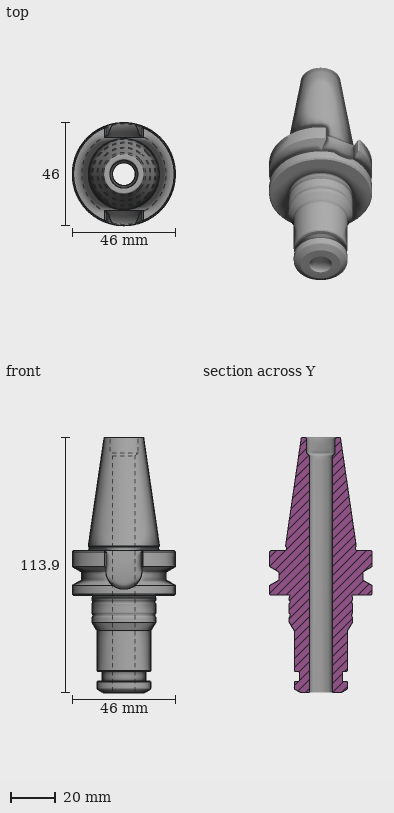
import cadquery as cq
import math


TOTAL_LENGTH = 113.9
TAPER_LENGTH = 48.4
GAUGE_RADIUS = 31.75 / 2
TAPER_RATIO = 7 / 24
TAPER_TIP_RADIUS = GAUGE_RADIUS - TAPER_LENGTH * TAPER_RATIO / 2
TAPER_TIP_FILLET = 0.5
BOTTOM_Z = TAPER_LENGTH - TOTAL_LENGTH

RELIEF_RADIUS = 15.5
RELIEF_TOP_Z = -0.4
RELIEF_FILLET = 0.75

FLANGE_RADIUS = 46 / 2
FLANGE_TOP_Z = -2.0
FLANGE_BOTTOM_Z = -22.0
FLANGE_CHAMFER = 0.6
GROOVE_UPPER_Z = -9.2
GROOVE_LOWER_Z = -17.6
GROOVE_RADIUS = 18.8
GROOVE_FILLET = 0.5
GROOVE_FLANK_ANGLE = 30
GROOVE_FLANK_HEIGHT = (FLANGE_RADIUS - GROOVE_RADIUS) * math.tan(math.radians(GROOVE_FLANK_ANGLE))

SLOT_RADIUS = 16.1 / 2
SLOT_FLOOR_Y = 16.3
SLOT_ARC_Z = -11.2
SLOT_FLOOR_FILLET = 0.4
SLOT_EDGE_CHAMFER = 0.6
SLOT_CUT_OVERSHOOT = 1.0

COLLAR_RADIUS = 28.5 / 2
COLLAR_GROOVE_DEPTH = 0.4
UNDERCUT_BOTTOM_Z = -23.1
UPPER_RING_Z = (-24.1, -25.8)
LOWER_RING_Z = (-29.9, -31.9)
RING_EDGE_FILLET = 0.45
COLLAR_BOTTOM_Z = -34.0
COLLAR_CONE_BOTTOM_Z = -37.7

SHANK_RADIUS = 24 / 2
SHANK_BOTTOM_Z = -56.0
END_NECK_RADIUS = 19.5 / 2
END_FLANGE_TOP_Z = -60.3
END_FACE_RADIUS = 9.0
END_RIM_CHAMFER = 0.4
END_NECK_FILLET = 0.3
END_CONE_FILLET = 1.0
END_CONE_ANGLE = 30
END_CONE_Z = BOTTOM_Z + (SHANK_RADIUS - END_FACE_RADIUS) * math.tan(math.radians(END_CONE_ANGLE))

BORE_RADIUS = 10.11 / 2
COUNTERBORE_RADIUS = 12.5 / 2
COUNTERBORE_DEPTH = 7.0
COUNTERBORE_RIM_FILLET = 0.75
BORE_CONE_HEIGHT = COUNTERBORE_RADIUS - BORE_RADIUS

TOLERANCE = 1e-3


def ring_edges(body, z, radius):
    """Full-circle edges of the body at the given height and radius."""
    return body.edges("%CIRCLE").filter(
        lambda edge: abs(edge.Center().z - z) < TOLERANCE and abs(edge.radius() - radius) < TOLERANCE
    )


def ring_groove(profile, z_top, z_bottom):
    """Continue the profile down the collar to z_top and through an arc groove to z_bottom."""
    middle = (COLLAR_RADIUS - COLLAR_GROOVE_DEPTH, (z_top + z_bottom) / 2)
    return profile.lineTo(COLLAR_RADIUS, z_top).threePointArc(middle, (COLLAR_RADIUS, z_bottom))


def turned_body():
    profile = (
        cq.Workplane("XZ")
        .moveTo(0, TAPER_LENGTH)
        .lineTo(TAPER_TIP_RADIUS, TAPER_LENGTH)
        .lineTo(GAUGE_RADIUS, 0)
        .lineTo(RELIEF_RADIUS, RELIEF_TOP_Z)
        .lineTo(RELIEF_RADIUS, FLANGE_TOP_Z)
        .lineTo(FLANGE_RADIUS, FLANGE_TOP_Z)
        .lineTo(FLANGE_RADIUS, GROOVE_UPPER_Z)
        .lineTo(GROOVE_RADIUS, GROOVE_UPPER_Z - GROOVE_FLANK_HEIGHT)
        .lineTo(GROOVE_RADIUS, GROOVE_LOWER_Z + GROOVE_FLANK_HEIGHT)
        .lineTo(FLANGE_RADIUS, GROOVE_LOWER_Z)
        .lineTo(FLANGE_RADIUS, FLANGE_BOTTOM_Z)
        .lineTo(COLLAR_RADIUS - COLLAR_GROOVE_DEPTH, FLANGE_BOTTOM_Z)
        .lineTo(COLLAR_RADIUS, UNDERCUT_BOTTOM_Z)
    )
    profile = ring_groove(profile, *UPPER_RING_Z)
    profile = ring_groove(profile, *LOWER_RING_Z)
    profile = (
        profile.lineTo(COLLAR_RADIUS, COLLAR_BOTTOM_Z)
        .lineTo(SHANK_RADIUS, COLLAR_CONE_BOTTOM_Z)
        .lineTo(SHANK_RADIUS, SHANK_BOTTOM_Z)
        .lineTo(END_NECK_RADIUS, SHANK_BOTTOM_Z)
        .lineTo(END_NECK_RADIUS, END_FLANGE_TOP_Z)
        .lineTo(SHANK_RADIUS, END_FLANGE_TOP_Z)
        .lineTo(SHANK_RADIUS, END_CONE_Z)
        .lineTo(END_FACE_RADIUS, BOTTOM_Z)
        .lineTo(0, BOTTOM_Z)
        .close()
    )
    return profile.revolve(360, (0, 0, 0), (0, 1, 0))


def ease_turned_edges(body):
    fillets = [
        (TAPER_LENGTH, TAPER_TIP_RADIUS, TAPER_TIP_FILLET),
        (FLANGE_TOP_Z, RELIEF_RADIUS, RELIEF_FILLET),
        (GROOVE_UPPER_Z - GROOVE_FLANK_HEIGHT, GROOVE_RADIUS, GROOVE_FILLET),
        (GROOVE_LOWER_Z + GROOVE_FLANK_HEIGHT, GROOVE_RADIUS, GROOVE_FILLET),
        (SHANK_BOTTOM_Z, END_NECK_RADIUS, END_NECK_FILLET),
        (END_FLANGE_TOP_Z, END_NECK_RADIUS, END_NECK_FILLET),
        (END_CONE_Z, SHANK_RADIUS, END_CONE_FILLET),
    ]
    for z in UPPER_RING_Z + LOWER_RING_Z:
        fillets.append((z, COLLAR_RADIUS, RING_EDGE_FILLET))
    chamfers = [
        (FLANGE_TOP_Z, FLANGE_RADIUS, FLANGE_CHAMFER),
        (FLANGE_BOTTOM_Z, FLANGE_RADIUS, FLANGE_CHAMFER),
        (SHANK_BOTTOM_Z, SHANK_RADIUS, END_RIM_CHAMFER),
        (END_FLANGE_TOP_Z, SHANK_RADIUS, END_RIM_CHAMFER),
    ]
    for z, radius, size in fillets:
        body = ring_edges(body, z, radius).fillet(size)
    for z, radius, size in chamfers:
        body = ring_edges(body, z, radius).chamfer(size)
    return body


def cut_bore(body):
    """Through bore with a counterbore that narrows to it through a cone, and a rounded mouth."""
    counterbore_z = TAPER_LENGTH - COUNTERBORE_DEPTH
    bore = (
        cq.Workplane("XZ")
        .moveTo(0, TAPER_LENGTH)
        .lineTo(COUNTERBORE_RADIUS, TAPER_LENGTH)
        .lineTo(COUNTERBORE_RADIUS, counterbore_z)
        .lineTo(BORE_RADIUS, counterbore_z - BORE_CONE_HEIGHT)
        .lineTo(BORE_RADIUS, BOTTOM_Z)
        .lineTo(0, BOTTOM_Z)
        .close()
        .revolve(360, (0, 0, 0), (0, 1, 0))
    )
    body = body.cut(bore)
    return ring_edges(body, TAPER_LENGTH, COUNTERBORE_RADIUS).fillet(COUNTERBORE_RIM_FILLET)


def slot_cutter():
    """Round-ended slot on the -Y side, open at the top."""
    return (
        cq.Workplane("XZ", origin=(0, -SLOT_FLOOR_Y, 0))
        .moveTo(-SLOT_RADIUS, 0)
        .lineTo(-SLOT_RADIUS, SLOT_ARC_Z)
        .threePointArc((0, SLOT_ARC_Z - SLOT_RADIUS), (SLOT_RADIUS, SLOT_ARC_Z))
        .lineTo(SLOT_RADIUS, 0)
        .close()
        .extrude(FLANGE_RADIUS - SLOT_FLOOR_Y + SLOT_CUT_OVERSHOOT)
    )


def is_slot_mouth_edge(edge):
    """Straight slot-wall edges on the flange's top face, top chamfer and outer cylinder."""
    middle = edge.Center()
    if abs(abs(middle.x) - SLOT_RADIUS) > TOLERANCE:
        return False
    if abs(middle.z - FLANGE_TOP_Z) < TOLERANCE:
        return True
    wall_outer_y = math.sqrt(FLANGE_RADIUS**2 - SLOT_RADIUS**2)
    return middle.z > GROOVE_UPPER_Z and abs(middle.y) > wall_outer_y - FLANGE_CHAMFER


def is_slot_floor_edge(edge):
    """Edges where a slot floor meets its side walls and round end."""
    box = edge.BoundingBox()
    lies_in_floor = box.ylen < TOLERANCE and abs(abs(box.center.y) - SLOT_FLOOR_Y) < TOLERANCE
    below_chamfer = box.zmax < FLANGE_TOP_Z - SLOT_EDGE_CHAMFER + TOLERANCE
    return lies_in_floor and below_chamfer


def cut_drive_slots(body):
    cutter = slot_cutter()
    body = body.cut(cutter).cut(cutter.rotate((0, 0, 0), (0, 0, 1), 180))
    body = body.edges().filter(is_slot_mouth_edge).chamfer(SLOT_EDGE_CHAMFER)
    return body.edges().filter(is_slot_floor_edge).fillet(SLOT_FLOOR_FILLET)


result = cut_drive_slots(cut_bore(ease_turned_edges(turned_body())))